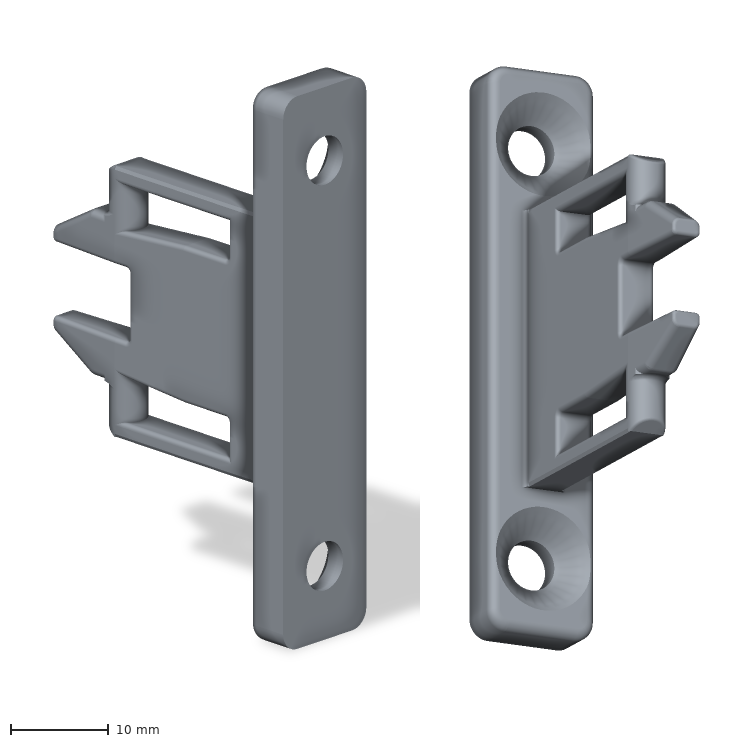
import cadquery as cq
import math

plate_thickness = 5.0
plate_width = 12
plate_height = 60
plate_corner_radius = 2.05
plate_edge_radius = 1.0

screw_spacing = 44.05
screw_diameter = 5.3
countersink_diameter = 11.0
countersink_angle = 90

tongue_thickness = 4.0
tongue_height = 29.4
tongue_edge_height = 0.35
tongue_edge_inset = 0.2
edge_radius = 0.5

overall_length = 37.85
post_radius = tongue_thickness / 2
post_x = -23.4
post_end_flat = 0.3
post_end_drop = 1.0
post_end_radius = 0.3

window_outer_z = 12.9
window_inner_z = 8.5
window_mouth_z = 7.8
window_end_x = -7.0
window_bend_x = -13.45

notch_half_height = 4.0
notch_end_x = post_x + post_radius
prong_tip_x = plate_thickness - overall_length
prong_tip_z = 5.7
prong_shoulder_x = -27.1
prong_shoulder_z = 9
prong_tip_width = 3.1
prong_top_radius = 0.8
prong_shoulder_radius = 0.9
prong_tip_radius = 0.35


def make_plate():
    """Rounded plate with two countersunk screw holes."""
    plate = (
        cq.Workplane("YZ")
        .rect(plate_width, plate_height)
        .extrude(plate_thickness)
        .edges("|X")
        .fillet(plate_corner_radius)
        .faces("<X")
        .edges()
        .fillet(plate_edge_radius)
    )
    return (
        plate.faces("<X")
        .workplane(origin=(0, 0, 0))
        .pushPoints([(0, screw_spacing / 2), (0, -screw_spacing / 2)])
        .cskHole(screw_diameter, countersink_diameter, countersink_angle)
    )


def make_window():
    """Upper window, open at the free end and rounded only in its inner corner."""
    return (
        cq.Workplane("XZ")
        .moveTo(post_x, window_outer_z)
        .lineTo(window_end_x, window_outer_z)
        .lineTo(window_end_x, window_inner_z)
        .lineTo(window_bend_x, window_inner_z)
        .lineTo(post_x, window_mouth_z)
        .close()
        .extrude(tongue_thickness, both=True)
        .edges("|Y and >X")
        .edges("<Z")
        .fillet(edge_radius)
    )


def make_notch():
    """Central notch, rounded in its two inner corners."""
    return (
        cq.Workplane("XZ")
        .center((post_x + notch_end_x) / 2, 0)
        .rect(notch_end_x - post_x, 2 * notch_half_height)
        .extrude(tongue_thickness, both=True)
        .edges("|Y and >X")
        .fillet(edge_radius)
    )


def make_tongue():
    """Tongue behind the posts, with bevelled outer edges and rounded openings."""
    half_thickness = tongue_thickness / 2
    half_height = tongue_height / 2
    upper_section = [
        (-half_thickness, half_height - tongue_edge_height),
        (-half_thickness + tongue_edge_inset, half_height),
        (half_thickness - tongue_edge_inset, half_height),
        (half_thickness, half_height - tongue_edge_height),
    ]
    lower_section = [(-y, -z) for y, z in upper_section]
    tongue = cq.Workplane("YZ").polyline(upper_section + lower_section).close().extrude(post_x)

    window = make_window()
    tongue = tongue.cut(window).cut(window.mirror("XY")).cut(make_notch())

    rim_limit_x = window_end_x + edge_radius
    rim_limit_z = window_outer_z + edge_radius
    rims = cq.selectors.BoxSelector(
        (post_x + edge_radius, -tongue_thickness, -rim_limit_z),
        (rim_limit_x, tongue_thickness, rim_limit_z),
    )
    return tongue.faces("<Y or >Y").edges(rims).fillet(edge_radius)


def make_root_flare():
    """Concave fillets where the two sides of the tongue meet the plate."""
    half_thickness = tongue_thickness / 2
    arc_offset = edge_radius * (1 - math.sqrt(0.5))
    return (
        cq.Workplane("XY")
        .moveTo(-edge_radius, -half_thickness)
        .threePointArc(
            (-arc_offset, -half_thickness - arc_offset),
            (0, -half_thickness - edge_radius),
        )
        .lineTo(0, half_thickness + edge_radius)
        .threePointArc(
            (-arc_offset, half_thickness + arc_offset),
            (-edge_radius, half_thickness),
        )
        .close()
        .extrude(tongue_height / 2, both=True)
    )


def make_post():
    """Upper post, its front half sloping down at the outer end."""
    base_z = notch_half_height + 2 * edge_radius
    top_z = tongue_height / 2
    front_x = post_x - post_radius
    post = (
        cq.Workplane("XY", origin=(post_x, 0, base_z))
        .circle(post_radius)
        .extrude(top_z - base_z)
    )
    end_slope = (
        cq.Workplane("XZ")
        .polyline([
            (post_x - post_end_flat, top_z),
            (front_x, top_z - post_end_drop),
            (front_x, top_z),
        ])
        .close()
        .extrude(tongue_thickness, both=True)
    )
    back_top = (
        cq.Workplane("XY")
        .box(post_radius, 2 * post_radius, top_z - window_outer_z, centered=(False, True, False))
        .translate((post_x, 0, window_outer_z + edge_radius))
    )
    post = post.cut(end_slope).edges("%ELLIPSE").fillet(post_end_radius)
    return post.cut(back_top)


def make_prong_plan(height):
    """Tapered plan of a prong, from its tip to the post axis."""
    return (
        cq.Workplane("XY")
        .polyline([
            (prong_tip_x, -prong_tip_width / 2),
            (post_x, -tongue_thickness / 2),
            (post_x, tongue_thickness / 2),
            (prong_tip_x, prong_tip_width / 2),
        ])
        .close()
        .extrude(height)
    )


def make_prong():
    """Upper prong, with a concave collar blending it into the post."""
    collar_z = prong_shoulder_z + edge_radius
    plan = make_prong_plan(collar_z)
    prong = (
        cq.Workplane("XZ")
        .polyline([
            (prong_tip_x, notch_half_height),
            (post_x, notch_half_height),
            (post_x, prong_shoulder_z),
            (prong_shoulder_x, prong_shoulder_z),
            (prong_tip_x, prong_tip_z),
        ])
        .close()
        .extrude(tongue_thickness, both=True)
        .edges("|Y and >Z")
        .edges("<X")
        .fillet(prong_shoulder_radius)
        .intersect(plan)
    )
    prong = prong.faces("<Y or >Y").edges("not (<Z or <X or >X)").fillet(prong_top_radius)
    prong = prong.faces("<Y or >Y").edges("<Z").fillet(edge_radius)
    prong = prong.faces("<X").edges().fillet(prong_tip_radius)

    foot_z = prong_shoulder_z - prong_top_radius
    arc_offset = edge_radius * (1 - math.sqrt(0.5))
    collar = (
        cq.Workplane("XZ")
        .moveTo(0, foot_z)
        .lineTo(post_radius + edge_radius, foot_z)
        .lineTo(post_radius + edge_radius, prong_shoulder_z)
        .threePointArc(
            (post_radius + arc_offset, prong_shoulder_z + arc_offset),
            (post_radius, collar_z),
        )
        .lineTo(0, collar_z)
        .close()
        .revolve(360, (0, 0, 0), (0, 1, 0))
        .translate((post_x, 0, 0))
        .intersect(plan)
    )
    return prong.union(collar)


upper_catch = make_post().union(make_prong())
result = (
    make_plate()
    .union(make_root_flare())
    .union(make_tongue())
    .union(upper_catch)
    .union(upper_catch.mirror("XY"))
)